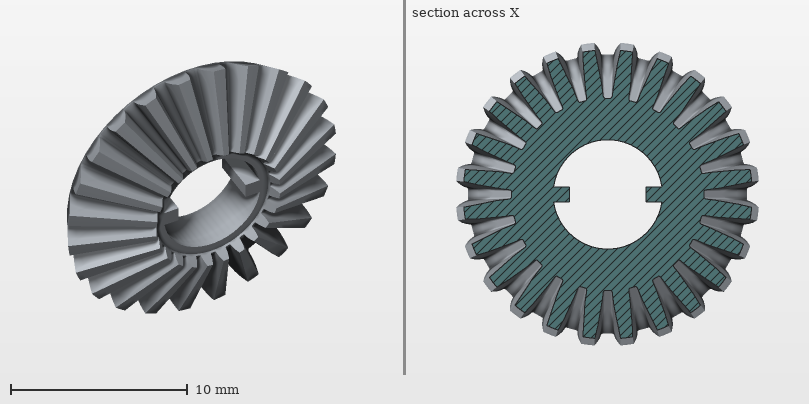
import cadquery as cq
import math

TEETH = 24
APEX_X = 5.33
PITCH_ANGLE = math.atan(2)
TIP_RADIUS = 8.6
TIP_X = 1.65
THICKNESS = 3.63
HUB_FACE_X = 2.88
BORE_RADIUS = 3.09
KEY_WIDTH = 0.89
KEY_GAP = 4.28

DEDENDUM = 1.01
ADDENDUM = 0.575
FLOOR_HALF_WIDTH = 0.24
ROOT_HALF_WIDTH = 0.36
ROOT_FILLET_HEIGHT = 0.14
PITCH_HALF_WIDTH = 0.55
TIP_HALF_WIDTH = 0.77
OVERSHOOT = 0.35
OUTER_SCALE = 1.1
INNER_SCALE = 0.3

CONE_RISE = 1 / math.tan(PITCH_ANGLE)
BACK_RADIUS = TIP_RADIUS - CONE_RISE * TIP_X
SMALL_TIP_RADIUS = TIP_RADIUS * (APEX_X - THICKNESS) / (APEX_X - TIP_X)
HUB_FACE_RADIUS = SMALL_TIP_RADIUS - CONE_RISE * (THICKNESS - HUB_FACE_X)
CONE_DISTANCE = BACK_RADIUS * math.sin(PITCH_ANGLE) + APEX_X * math.cos(PITCH_ANGLE)


def make_blank():
    """Turned body: back cone, tip cone, front cone and hub face around the bore."""
    half_section = [
        (0, BORE_RADIUS),
        (0, BACK_RADIUS),
        (TIP_X, TIP_RADIUS),
        (THICKNESS, SMALL_TIP_RADIUS),
        (HUB_FACE_X, HUB_FACE_RADIUS),
        (HUB_FACE_X, BORE_RADIUS),
    ]
    return cq.Workplane("XY").polyline(half_section).close().revolve(360, (0, 0, 0), (1, 0, 0))


def gap_wire(scale):
    """Tooth gap section, scaled about the apex, in a plane square to the pitch line at +Z."""
    distance = scale * CONE_DISTANCE
    origin = (
        APEX_X - distance * math.cos(PITCH_ANGLE),
        0,
        distance * math.sin(PITCH_ANGLE),
    )
    toward_apex = (math.cos(PITCH_ANGLE), 0, -math.sin(PITCH_ANGLE))
    plane = cq.Plane(origin=origin, xDir=(0, 1, 0), normal=toward_apex)

    def point(half_width, height):
        return (scale * half_width, scale * height)

    fillet_top = ROOT_FILLET_HEIGHT - DEDENDUM
    fillet_rise = ROOT_FILLET_HEIGHT * (1 - math.sqrt(0.5))
    fillet_run = (ROOT_HALF_WIDTH - FLOOR_HALF_WIDTH) * math.sqrt(0.5)
    fillet_middle = (FLOOR_HALF_WIDTH + fillet_run, fillet_rise - DEDENDUM)
    return (
        cq.Workplane(plane)
        .moveTo(*point(-FLOOR_HALF_WIDTH, -DEDENDUM))
        .lineTo(*point(FLOOR_HALF_WIDTH, -DEDENDUM))
        .threePointArc(point(*fillet_middle), point(ROOT_HALF_WIDTH, fillet_top))
        .threePointArc(point(PITCH_HALF_WIDTH, 0), point(TIP_HALF_WIDTH, ADDENDUM))
        .lineTo(*point(TIP_HALF_WIDTH, ADDENDUM + OVERSHOOT))
        .lineTo(*point(-TIP_HALF_WIDTH, ADDENDUM + OVERSHOOT))
        .lineTo(*point(-TIP_HALF_WIDTH, ADDENDUM))
        .threePointArc(point(-PITCH_HALF_WIDTH, 0), point(-ROOT_HALF_WIDTH, fillet_top))
        .threePointArc(point(-fillet_middle[0], fillet_middle[1]), point(-FLOOR_HALF_WIDTH, -DEDENDUM))
        .close()
        .val()
    )


def cut_teeth(body):
    """Cut one tapering gap per tooth; the first gap is centred on +Z."""
    cutter = cq.Workplane(cq.Solid.makeLoft([gap_wire(OUTER_SCALE), gap_wire(INNER_SCALE)], True))
    for index in range(TEETH):
        body = body.cut(cutter.rotate((0, 0, 0), (1, 0, 0), index * 360 / TEETH))
    return body


def make_keys():
    """Two full-length keys that stand into the bore from the +Y and -Y sides."""
    key_root = (BORE_RADIUS + HUB_FACE_RADIUS) / 2
    key_height = key_root - KEY_GAP / 2
    key_centre = KEY_GAP / 2 + key_height / 2
    return (
        cq.Workplane("YZ")
        .pushPoints([(key_centre, 0), (-key_centre, 0)])
        .rect(key_height, KEY_WIDTH)
        .extrude(HUB_FACE_X)
    )


result = cut_teeth(make_blank()).union(make_keys())